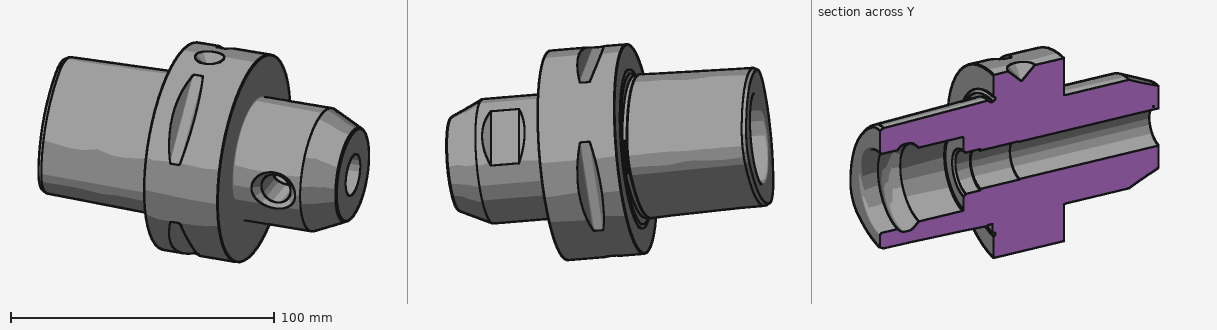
import cadquery as cq
import math

LENGTH = 118.0
SHANK_CHAMFER_END = 1.5
TAPER_END = 45.7
SEAT_FACE = 47.7
FLANGE_START = 48.0
FLANGE_END = 78.0
NOSE_START = 105.4

LOBE_CENTER_RADIUS = 15.2
LOBE_RADIUS = 14.3
SHANK_TAPER = math.degrees(math.atan(1 / 40))
SHANK_CHAMFER_HEIGHT = 0.8
NECK_INSET = 0.4
NECK_SHOULDER_ANGLE = 45.0
NECK_TURNED_RADIUS = 28.3
NECK_TURNED_START = 47.0
NECK_RAMP = 0.7

SEAT_RADIUS = 28.8
SEAT_GROOVE_RADIUS = 0.77

FLANGE_RADIUS = 80.0 / 2
FLANGE_CHAMFER = 0.2
GRIP_CENTER = 60.0
GRIP_FLOOR_DISTANCE = 35.6
GRIP_FLOOR_WIDTH = 3.8
GRIP_SIDE_ANGLE = 30.0
GRIP_CORNER_FILLET = 0.7
DIMPLE_RADIUS = 11.2 / 2

BODY_RADIUS = 47.5 / 2
BODY_FOOT_FILLET = 0.6
NOSE_END_RADIUS = 18.2
NOSE_CHAMFER = 0.5

SCREW_CENTER = 94.5
SCREW_HOLE_RADIUS = 11.8 / 2
COUNTERSINK_RADIUS = 8.8
NOTCH_DEPTH = 2.8
NOTCH_FLOOR_WIDTH = 10.9

MOUTH_RADIUS = 18.3
MOUTH_FILLET = 1.2
ENTRY_RADIUS = MOUTH_RADIUS - MOUTH_FILLET
ENTRY_DEPTH = 7.5
CLAMP_GROOVE_RADIUS = 38.0 / 2
CLAMP_GROOVE_CORNER_RADIUS = 2.8
CLAMP_GROOVE_FLOOR_LENGTH = 1.7
CHAMBER_RADIUS = 32.0 / 2
CHAMBER_END = 35.4
CHAMBER_FLOOR_CHAMFER = 0.4
PILOT_RADIUS = 17.8 / 2
PILOT_CHAMFER = 1.0
PILOT_END = 42.5
RELIEF_RADIUS = 16.5 / 2
RELIEF_END = 59.0
TOOL_BORE_RADIUS = 16.0 / 2


def revolve_about_x(profile):
    return profile.close().revolve(360, (0, 0, 0), (1, 0, 0))


def lobe_point(center_angle, radius, direction):
    """Point (Y, Z) at a radius and direction from one corner of the lobe triangle."""
    center, heading = math.radians(center_angle), math.radians(direction)
    return (
        LOBE_CENTER_RADIUS * math.cos(center) + radius * math.cos(heading),
        LOBE_CENTER_RADIUS * math.sin(center) + radius * math.sin(heading),
    )


def lobe_prism(start, length, inset, taper=0.0):
    """Three-lobed solid along X that starts with lobes reduced by the inset."""
    small = LOBE_RADIUS - inset
    large = small + LOBE_CENTER_RADIUS * math.sqrt(3)
    outline = cq.Workplane("YZ", origin=(start, 0, 0)).moveTo(*lobe_point(90, small, 60))
    for angle in (90, 210, 330):
        outline = outline.threePointArc(
            lobe_point(angle, small, angle), lobe_point(angle, small, angle + 30)
        )
        across = angle + 240
        outline = outline.threePointArc(
            lobe_point(across, large, across + 180), lobe_point(across, large, across + 210)
        )
    return outline.close().extrude(length, taper=-taper)


def make_shank():
    taper_length = TAPER_END - SHANK_CHAMFER_END
    end_inset = taper_length * math.tan(math.radians(SHANK_TAPER))
    chamfer_angle = math.degrees(math.atan(SHANK_CHAMFER_HEIGHT / SHANK_CHAMFER_END))
    tip = lobe_prism(0, SHANK_CHAMFER_END, end_inset + SHANK_CHAMFER_HEIGHT, chamfer_angle)
    cone = lobe_prism(SHANK_CHAMFER_END, taper_length, end_inset, SHANK_TAPER)
    shoulder = lobe_prism(TAPER_END, NECK_INSET, 0, -NECK_SHOULDER_ANGLE)
    neck = lobe_prism(TAPER_END, FLANGE_START - TAPER_END, NECK_INSET)
    turned = (
        cq.Workplane("XY")
        .moveTo(TAPER_END, 0)
        .lineTo(TAPER_END, FLANGE_RADIUS)
        .lineTo(NECK_TURNED_START - NECK_RAMP, NECK_TURNED_RADIUS + NECK_RAMP)
        .lineTo(NECK_TURNED_START, NECK_TURNED_RADIUS)
        .lineTo(FLANGE_START, NECK_TURNED_RADIUS)
        .lineTo(FLANGE_START, 0)
    )
    return tip.union(cone).union(shoulder.union(neck).intersect(revolve_about_x(turned)))


def make_turned_body():
    groove_outer = SEAT_RADIUS + 2 * SEAT_GROOVE_RADIUS
    groove_middle = SEAT_RADIUS + SEAT_GROOVE_RADIUS
    fillet_offset = BODY_FOOT_FILLET * (1 - math.sqrt(0.5))
    profile = (
        cq.Workplane("XY")
        .moveTo(SEAT_FACE, 0)
        .lineTo(SEAT_FACE, SEAT_RADIUS)
        .lineTo(FLANGE_START, SEAT_RADIUS)
        .threePointArc((FLANGE_START + SEAT_GROOVE_RADIUS, groove_middle), (FLANGE_START, groove_outer))
        .lineTo(FLANGE_START, FLANGE_RADIUS - FLANGE_CHAMFER)
        .lineTo(FLANGE_START + FLANGE_CHAMFER, FLANGE_RADIUS)
        .lineTo(FLANGE_END - FLANGE_CHAMFER, FLANGE_RADIUS)
        .lineTo(FLANGE_END, FLANGE_RADIUS - FLANGE_CHAMFER)
        .lineTo(FLANGE_END, BODY_RADIUS + BODY_FOOT_FILLET)
        .threePointArc(
            (FLANGE_END + fillet_offset, BODY_RADIUS + fillet_offset),
            (FLANGE_END + BODY_FOOT_FILLET, BODY_RADIUS),
        )
        .lineTo(NOSE_START, BODY_RADIUS)
        .lineTo(LENGTH - NOSE_CHAMFER, NOSE_END_RADIUS)
        .lineTo(LENGTH, NOSE_END_RADIUS - NOSE_CHAMFER)
        .lineTo(LENGTH, 0)
    )
    return revolve_about_x(profile)


def make_bore():
    mouth_offset = MOUTH_FILLET * (1 - math.sqrt(0.5))

    corner_run = CLAMP_GROOVE_CORNER_RADIUS * math.sin(math.radians(45))
    corner_height = CLAMP_GROOVE_RADIUS - CLAMP_GROOVE_CORNER_RADIUS + corner_run
    arc_run = CLAMP_GROOVE_CORNER_RADIUS * math.sin(math.radians(22.5))
    arc_height = CLAMP_GROOVE_RADIUS - CLAMP_GROOVE_CORNER_RADIUS * (1 - math.cos(math.radians(22.5)))
    first_side_end = ENTRY_DEPTH + corner_height - ENTRY_RADIUS
    floor_start = first_side_end + corner_run
    floor_end = floor_start + CLAMP_GROOVE_FLOOR_LENGTH
    second_side_start = floor_end + corner_run
    chamber_start = second_side_start + corner_height - CHAMBER_RADIUS

    profile = (
        cq.Workplane("XY")
        .lineTo(0, MOUTH_RADIUS)
        .threePointArc(
            (mouth_offset, ENTRY_RADIUS + mouth_offset), (MOUTH_FILLET, ENTRY_RADIUS)
        )
        .lineTo(ENTRY_DEPTH, ENTRY_RADIUS)
        .lineTo(first_side_end, corner_height)
        .threePointArc((floor_start - arc_run, arc_height), (floor_start, CLAMP_GROOVE_RADIUS))
        .lineTo(floor_end, CLAMP_GROOVE_RADIUS)
        .threePointArc((floor_end + arc_run, arc_height), (second_side_start, corner_height))
        .lineTo(chamber_start, CHAMBER_RADIUS)
        .lineTo(CHAMBER_END - CHAMBER_FLOOR_CHAMFER, CHAMBER_RADIUS)
        .lineTo(CHAMBER_END, CHAMBER_RADIUS - CHAMBER_FLOOR_CHAMFER)
        .lineTo(CHAMBER_END, PILOT_RADIUS + PILOT_CHAMFER)
        .lineTo(CHAMBER_END + PILOT_CHAMFER, PILOT_RADIUS)
        .lineTo(PILOT_END, PILOT_RADIUS)
        .lineTo(PILOT_END, RELIEF_RADIUS)
        .lineTo(RELIEF_END, RELIEF_RADIUS)
        .lineTo(RELIEF_END, TOOL_BORE_RADIUS)
        .lineTo(LENGTH, TOOL_BORE_RADIUS)
        .lineTo(LENGTH, 0)
    )
    return revolve_about_x(profile)


def make_grip_grooves():
    """Four straight V-like grooves with flat floors, cut across the flange at 45 degrees."""
    depth = FLANGE_RADIUS - GRIP_FLOOR_DISTANCE
    half_floor = GRIP_FLOOR_WIDTH / 2
    half_top = half_floor + depth * math.tan(math.radians(GRIP_SIDE_ANGLE))
    groove = (
        cq.Workplane("XZ")
        .moveTo(GRIP_CENTER - half_floor, GRIP_FLOOR_DISTANCE)
        .lineTo(GRIP_CENTER + half_floor, GRIP_FLOOR_DISTANCE)
        .lineTo(GRIP_CENTER + half_top, FLANGE_RADIUS)
        .lineTo(GRIP_CENTER - half_top, FLANGE_RADIUS)
        .close()
        .extrude(FLANGE_RADIUS, both=True)
        .faces("<Z")
        .edges("|Y")
        .fillet(GRIP_CORNER_FILLET)
    )
    grooves = cq.Workplane("XY")
    for angle in (45, 135, 225, 315):
        grooves = grooves.add(groove.rotate((0, 0, 0), (1, 0, 0), angle))
    return grooves.combine()


def make_dimple():
    """Ninety-degree conical index dimple on top of the flange."""
    tip = cq.Vector(GRIP_CENTER, 0, FLANGE_RADIUS - DIMPLE_RADIUS)
    return cq.Workplane(cq.Solid.makeCone(0, DIMPLE_RADIUS, DIMPLE_RADIUS, tip, cq.Vector(0, 0, 1)))


def make_screw_hole():
    """Radial hole from the -Y side into the tool bore, with a 45 degree countersink."""
    surface = cq.Vector(SCREW_CENTER, -BODY_RADIUS, 0)
    inward = cq.Vector(0, 1, 0)
    sink_depth = COUNTERSINK_RADIUS - SCREW_HOLE_RADIUS
    hole = cq.Solid.makeCylinder(SCREW_HOLE_RADIUS, BODY_RADIUS, surface, inward)
    sink = cq.Solid.makeCone(COUNTERSINK_RADIUS, SCREW_HOLE_RADIUS, sink_depth, surface, inward)
    return cq.Workplane(hole).union(cq.Workplane(sink))


def make_notch():
    """Flat-floored notch with 45 degree ends on the +Y side of the body."""
    half_floor = NOTCH_FLOOR_WIDTH / 2
    half_top = half_floor + NOTCH_DEPTH
    return (
        cq.Workplane("XY")
        .moveTo(SCREW_CENTER - half_floor, BODY_RADIUS - NOTCH_DEPTH)
        .lineTo(SCREW_CENTER + half_floor, BODY_RADIUS - NOTCH_DEPTH)
        .lineTo(SCREW_CENTER + half_top, BODY_RADIUS)
        .lineTo(SCREW_CENTER - half_top, BODY_RADIUS)
        .close()
        .extrude(BODY_RADIUS, both=True)
    )


result = (
    make_turned_body()
    .union(make_shank())
    .cut(make_bore())
    .cut(make_grip_grooves())
    .cut(make_dimple())
    .cut(make_screw_hole())
    .cut(make_notch())
)